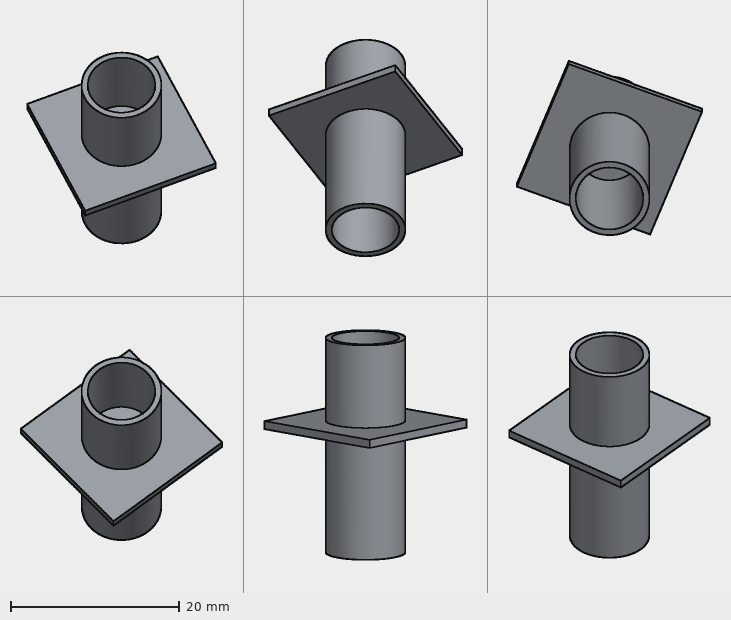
import cadquery as cq

tube_height = 26.0
tube_diameter = 9.5
bore_diameter = 8.0

plate_side = 17.0
plate_thickness = 1.0
plate_bottom_z = 15.0


def make_cylinder(diameter, bottom_z, height):
    """Upright cylinder on the Z axis."""
    return cq.Workplane("XY").workplane(offset=bottom_z).circle(diameter / 2).extrude(height)


def make_tube():
    """Round tube standing on Z = 0, with a web across its bore at the plate."""
    outside = make_cylinder(tube_diameter, 0, tube_height)
    web_top_z = plate_bottom_z + plate_thickness
    lower_bore = make_cylinder(bore_diameter, 0, plate_bottom_z)
    upper_bore = make_cylinder(bore_diameter, web_top_z, tube_height - web_top_z)
    return outside.cut(lower_bore).cut(upper_bore)


def make_plate():
    """Square plate with a central hole that fits the tube."""
    return (
        cq.Workplane("XY")
        .workplane(offset=plate_bottom_z)
        .rect(plate_side, plate_side)
        .circle(tube_diameter / 2)
        .extrude(plate_thickness)
    )


tube = make_tube()
plate = make_plate()

result = cq.Compound.makeCompound([tube.val(), plate.val()])